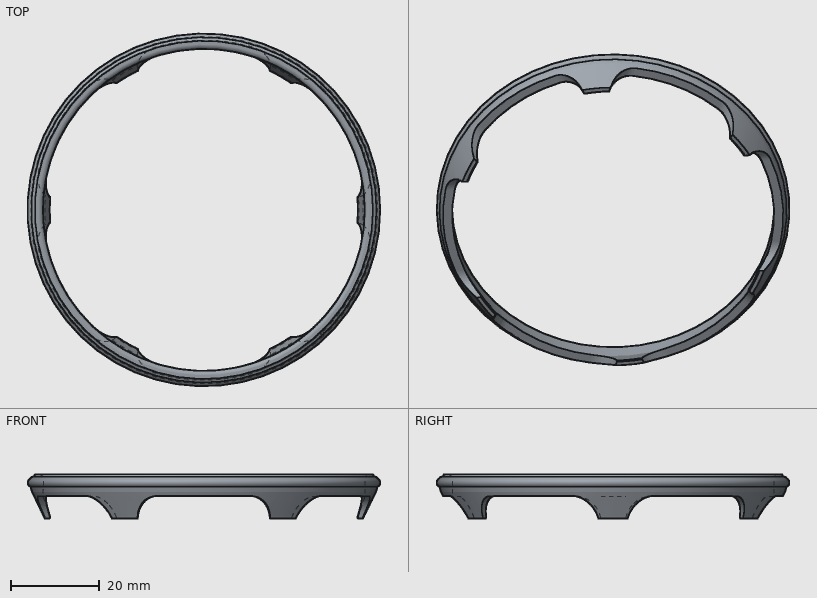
import cadquery as cq
import math

outer_radius = 39.75
total_height = 10.0
ring_height = 4.9

inner_radius = 36.25
inner_round_depth = 0.95
crest_inner_radius = 37.45
crest_outer_radius = 38.1
shoulder_radius = 38.9
shoulder_depth = 0.6
shoulder_bulge = 0.15
bead_edge_radius = 39.5
bead_top_depth = 1.3
bead_middle_depth = 2.0
neck_radius = 39.1
neck_depth = 2.9
skirt_radius = 38.8
skirt_depth = 4.0

leg_count = 6
foot_inner_radius = 34.65
foot_outer_radius = 35.85
bevel_height = 0.55
bevel_top_radius = 36.1
foot_half_width = 3.3
flare_radius = 5.2
flare_half_width = 8.6
side_slope = 0.45
inner_foot_chamfer = 0.2
envelope_inner_radius = 31.8


def make_revolved_body():
    """Ring with a full skirt as deep as the legs."""
    round_width = crest_inner_radius - inner_radius
    diagonal = math.sqrt(0.5)
    round_middle = (
        crest_inner_radius - round_width * diagonal,
        -inner_round_depth * (1 - diagonal),
    )
    return (
        cq.Workplane("XZ")
        .moveTo(crest_inner_radius, 0)
        .lineTo(crest_outer_radius, 0)
        .sagittaArc((shoulder_radius, -shoulder_depth), -shoulder_bulge)
        .lineTo(bead_edge_radius, -bead_top_depth)
        .threePointArc((outer_radius, -bead_middle_depth), (neck_radius, -neck_depth))
        .lineTo(skirt_radius, -skirt_depth)
        .lineTo(bevel_top_radius, bevel_height - total_height)
        .lineTo(foot_outer_radius, -total_height)
        .lineTo(foot_inner_radius + inner_foot_chamfer, -total_height)
        .lineTo(foot_inner_radius, inner_foot_chamfer - total_height)
        .lineTo(inner_radius, -ring_height)
        .lineTo(inner_radius, -inner_round_depth)
        .threePointArc(round_middle, (crest_inner_radius, 0))
        .close()
        .revolve(360, (0, 0, 0), (0, 1, 0))
    )


def make_leg_outline(radius):
    """Flared outline of the leg along +X, at the given distance from the axis."""
    shift = side_slope * (radius - foot_outer_radius)
    foot_y = foot_half_width + shift
    flare_y = flare_half_width + shift
    bevel_z = bevel_height - total_height
    flare_center_z = -ring_height - flare_radius
    flare_end_y = flare_y - math.sqrt(flare_radius**2 - (bevel_z - flare_center_z) ** 2)
    end_angle = math.atan2(bevel_z - flare_center_z, flare_end_y - flare_y)
    middle_angle = (end_angle + math.pi / 2) / 2
    middle_y = flare_y + flare_radius * math.cos(middle_angle)
    middle_z = flare_center_z + flare_radius * math.sin(middle_angle)
    return (
        cq.Workplane("YZ", origin=(radius, 0, 0))
        .moveTo(-flare_y, -ring_height)
        .threePointArc((-middle_y, middle_z), (-flare_end_y, bevel_z))
        .lineTo(-foot_y, -total_height)
        .lineTo(foot_y, -total_height)
        .lineTo(flare_end_y, bevel_z)
        .threePointArc((middle_y, middle_z), (flare_y, -ring_height))
        .lineTo(flare_y, 0)
        .lineTo(-flare_y, 0)
        .close()
        .val()
    )


def make_leg_envelope():
    """Block bounded by the flared sides of one leg, spanning its radial thickness."""
    outlines = [make_leg_outline(radius) for radius in (envelope_inner_radius, outer_radius)]
    return cq.Workplane(cq.Solid.makeLoft(outlines, True))


keep_radius = outer_radius + 0.8
envelope = cq.Workplane("XY").circle(keep_radius).extrude(-ring_height)
leg = make_leg_envelope()
for index in range(leg_count):
    angle = index * 360 / leg_count
    envelope = envelope.union(leg.rotate((0, 0, 0), (0, 0, 1), angle))

result = make_revolved_body().intersect(envelope)